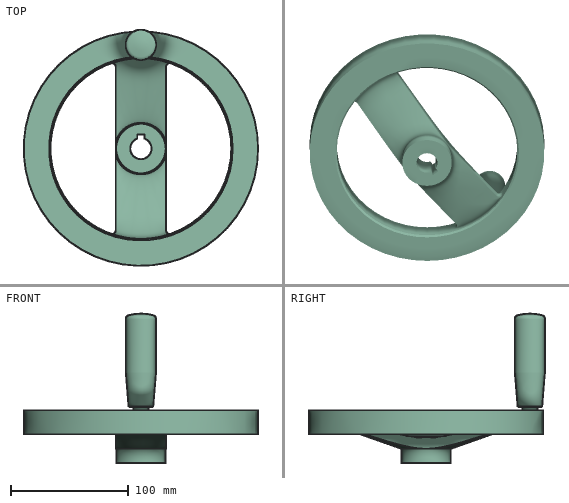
import cadquery as cq
import math

hub_lower_height = 12.0
rim_bottom = 24.4
rim_height = 20.8
rim_top = rim_bottom + rim_height
hub_top = rim_bottom

rim_diameter = 200.0
rim_radius = rim_diameter / 2
rim_inner_radius = 77.0
rim_chamfer = 1.5

hub_diameter = 42.1
hub_radius = hub_diameter / 2
hub_collar = 1.0
bore_diameter = 18.0
bore_radius = bore_diameter / 2
keyway_width = 5.8
keyway_reach = 11.9

spoke_width = 43.1
spoke_bottom_slope = 0.352
spoke_top_slope = 0.31
spoke_top_at_hub = 21.4
spoke_end_fillet = 3.0

handle_y = 88.5
handle_diameter = 26.0
handle_radius = handle_diameter / 2
handle_foot_radius = 10.7
neck_radius = 6.6
handle_bottom = 47.5
handle_foot_chamfer = 1.0
taper_top = 77.2
grip_top = 122.3
dome_diameter = 20.4
dome_radius = dome_diameter / 2
dome_bottom = 126.1
handle_top = 127.5


def make_rim():
    ring = (
        cq.Workplane("XY")
        .workplane(offset=rim_bottom)
        .circle(rim_radius)
        .circle(rim_inner_radius)
        .extrude(rim_height)
    )
    inner_edges = cq.selectors.RadiusNthSelector(0)
    return ring.edges(inner_edges).chamfer(rim_chamfer)


def make_spokes():
    """Revolve the conical web, then keep a band along Y that flares at the rim."""
    outer = rim_inner_radius + rim_chamfer
    run = outer - hub_radius
    web = (
        cq.Workplane("XZ")
        .moveTo(0, hub_lower_height)
        .lineTo(hub_radius, hub_lower_height)
        .lineTo(outer, hub_lower_height + run * spoke_bottom_slope)
        .lineTo(outer, spoke_top_at_hub + run * spoke_top_slope)
        .lineTo(hub_radius, spoke_top_at_hub)
        .lineTo(0, spoke_top_at_hub)
        .close()
        .revolve(360, (0, 0), (0, 1))
    )
    band = cq.Workplane("XY").rect(spoke_width, 2 * rim_radius).extrude(rim_top)
    spokes = web.intersect(band)
    for x_side in (-1, 1):
        for y_side in (-1, 1):
            spokes = spokes.union(web.intersect(make_end_flare(x_side, y_side)))
    return spokes


def make_end_flare(x_side, y_side):
    """Concave corner between a spoke side and the inner wall of the rim."""
    half_width = spoke_width / 2
    center_x = half_width + spoke_end_fillet
    center_y = math.sqrt((rim_inner_radius - spoke_end_fillet) ** 2 - center_x**2)
    rim_touch = rim_inner_radius / (rim_inner_radius - spoke_end_fillet)
    touch_x = center_x * rim_touch
    touch_y = center_y * rim_touch
    start_angle = math.pi
    end_angle = math.atan2(center_y, center_x)
    middle_angle = (start_angle + end_angle) / 2
    middle_x = center_x + spoke_end_fillet * math.cos(middle_angle)
    middle_y = center_y + spoke_end_fillet * math.sin(middle_angle)
    return (
        cq.Workplane("XY")
        .moveTo(0, y_side * center_y)
        .lineTo(x_side * half_width, y_side * center_y)
        .threePointArc(
            (x_side * middle_x, y_side * middle_y),
            (x_side * touch_x, y_side * touch_y),
        )
        .lineTo(x_side * touch_x, y_side * rim_radius)
        .lineTo(0, y_side * rim_radius)
        .close()
        .extrude(rim_top)
    )


def make_hub():
    """Cylinder with a sloped collar where it rises out of the spokes."""
    collar_radius = hub_radius + hub_collar
    collar_base = spoke_top_at_hub + hub_collar * spoke_top_slope
    collar_floor = (hub_lower_height + collar_base) / 2
    hub = cq.Workplane("XY").circle(hub_radius).extrude(hub_top)
    collar = (
        cq.Workplane("XZ")
        .moveTo(0, collar_floor)
        .lineTo(collar_radius, collar_floor)
        .lineTo(collar_radius, collar_base)
        .lineTo(hub_radius, collar_base + hub_collar)
        .lineTo(0, collar_base + hub_collar)
        .close()
        .revolve(360, (0, 0), (0, 1))
    )
    band = cq.Workplane("XY").rect(spoke_width, 2 * collar_radius).extrude(hub_top)
    return hub.union(collar.intersect(band))


def make_bore():
    bore = cq.Workplane("XY").circle(bore_radius).extrude(hub_top)
    keyway = (
        cq.Workplane("XY")
        .center(0, keyway_reach / 2)
        .rect(keyway_width, keyway_reach)
        .extrude(hub_top)
    )
    return bore.union(keyway)


def make_handle():
    """Turned grip on a short neck, standing on the rim."""
    shoulder_width = handle_radius - dome_radius
    shoulder_height = dome_bottom - grip_top
    quarter = math.sqrt(0.5)
    shoulder = (dome_radius + shoulder_width * quarter, grip_top + shoulder_height * quarter)
    dome_rise = handle_top - dome_bottom
    sphere_radius = (dome_radius**2 + dome_rise**2) / (2 * dome_rise)
    half_dome = dome_radius / 2
    half_dome_height = handle_top - sphere_radius + math.sqrt(sphere_radius**2 - half_dome**2)
    neck_base = (rim_bottom + rim_top) / 2
    return (
        cq.Workplane("XZ")
        .moveTo(0, neck_base)
        .lineTo(neck_radius, neck_base)
        .lineTo(neck_radius, handle_bottom)
        .lineTo(handle_foot_radius - handle_foot_chamfer, handle_bottom)
        .lineTo(handle_foot_radius, handle_bottom + handle_foot_chamfer)
        .lineTo(handle_radius, taper_top)
        .lineTo(handle_radius, grip_top)
        .threePointArc(shoulder, (dome_radius, dome_bottom))
        .threePointArc((half_dome, half_dome_height), (0, handle_top))
        .close()
        .revolve(360, (0, 0), (0, 1))
        .translate((0, handle_y, 0))
    )


wheel = make_rim().union(make_spokes()).union(make_hub()).cut(make_bore())
result = wheel.union(make_handle())